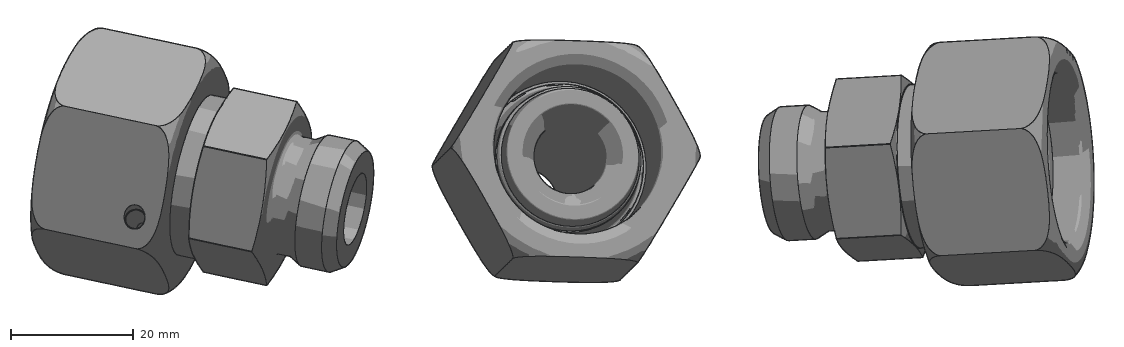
import cadquery as cq
import math

total_length = 50.0

nut_length = 22.5
nut_across_flats = 36.0
nut_corner_rounding = 3.5
nut_bore_radius = 27.8 / 2
nut_mouth_radius = 15.8
nut_mouth_angle = 60.0
nut_mouth_rounding = 1.0
nut_bore_edge_rounding = 0.6
nut_back_wall_x = 14.5

wire_hole_x = 18.0
wire_hole_offset = 13.55
wire_hole_angle = 60.0
wire_hole_diameter = 3.2
wire_entry_diameter = 3.5
wire_entry_start = 11.9

nose_x = 5.25
nose_edge_radius = 10.95
nose_edge_rounding = 0.4
nose_cone_angle = 12.0
shoulder_x = 13.8
shank_radius = 26.8 / 2
shoulder_fillet = 0.5
shoulder_edge_rounding = 0.3

hex_start_x = 25.9
hex_end_x = 38.0
hex_across_flats = 27.0
hex_corner_radius = 15.55
hex_chamfer_angle = 15.0
hex_end_face_radius = 13.1
collar_fillet = 0.1

undercut_radius = 19.6 / 2
undercut_fillet = 0.95
undercut_end_x = 40.9
thread_radius = 22.0 / 2
thread_flank_angle = 30.0
end_chamfer_x = 47.85
end_edge_break = 0.15

bore_radius = 12.0 / 2
bore_mouth_radius = 8.45
bore_mouth_end_x = 7.8
bore_mouth_rounding = 0.4
bore_throat_rounding = 0.5

ring_section_radius = 1.0
ring_x = 9.0
ring_outer_radius = 12.0
ring_groove_width = 2.5


def tan_deg(angle):
    return math.tan(math.radians(angle))


def revolve_about_x(profile):
    """Turn a closed (x, radius) profile in the XY plane about the X axis."""
    return profile.close().revolve(360, (0, 0, 0), (1, 0, 0))


def corner_radius(across_flats):
    return across_flats / 2 / math.cos(math.pi / 6)


def hexagon_bar(across_flats, start_x, end_x):
    """Hexagonal bar along X with corners on +Y and -Y and flats on +Z and -Z."""
    bar = cq.Workplane("YZ", origin=(start_x, 0, 0)).polygon(6, 2 * corner_radius(across_flats))
    return bar.extrude(end_x - start_x)


def circle_at(x, radius):
    """Selector for the circular edge about the X axis at this x and radius."""
    slack = 0.025
    reach = radius + slack
    inner = radius - slack
    whole = cq.selectors.BoxSelector((x - slack, -reach, -reach), (x + slack, reach, reach), True)
    smaller = cq.selectors.BoxSelector((x - slack, -inner, -inner), (x + slack, inner, inner), True)
    return whole - smaller


def make_nut():
    corner = corner_radius(nut_across_flats)
    face_radius = corner - nut_corner_rounding
    envelope = revolve_about_x(
        cq.Workplane("XY")
        .lineTo(0, face_radius)
        .radiusArc((nut_corner_rounding, corner), nut_corner_rounding)
        .lineTo(nut_length - nut_corner_rounding, corner)
        .radiusArc((nut_length, face_radius), nut_corner_rounding)
        .lineTo(nut_length, 0)
    )
    mouth_depth = (nut_mouth_radius - nut_bore_radius) / tan_deg(nut_mouth_angle)
    cavity = revolve_about_x(
        cq.Workplane("XY")
        .lineTo(0, nut_mouth_radius)
        .lineTo(mouth_depth, nut_bore_radius)
        .lineTo(nut_back_wall_x, nut_bore_radius)
        .lineTo(nut_back_wall_x, shank_radius)
        .lineTo(nut_length, shank_radius)
        .lineTo(nut_length, 0)
    )
    nut = hexagon_bar(nut_across_flats, 0, nut_length).intersect(envelope).cut(cavity)
    nut = nut.edges(circle_at(0, nut_mouth_radius)).fillet(nut_mouth_rounding)
    nut = nut.edges(circle_at(mouth_depth, nut_bore_radius)).fillet(nut_bore_edge_rounding)
    return nut.cut(make_wire_hole())


def make_wire_hole():
    """Stepped hole from its point of tangency beside the shank out through a flat of the nut."""
    angle = math.radians(wire_hole_angle)
    outward = (0, -math.cos(angle), math.sin(angle))
    tangent_point = (
        wire_hole_x,
        -wire_hole_offset * math.sin(angle),
        -wire_hole_offset * math.cos(angle),
    )
    base = cq.Workplane(cq.Plane(origin=tangent_point, xDir=(1, 0, 0), normal=outward))
    outside = nut_across_flats / 2
    hole = base.circle(wire_hole_diameter / 2).extrude(outside)
    entry = base.workplane(offset=wire_entry_start).circle(wire_entry_diameter / 2)
    return hole.union(entry.extrude(outside - wire_entry_start))


def make_nose_and_shank():
    cone_end_radius = nose_edge_radius + (shoulder_x - nose_x) * tan_deg(nose_cone_angle)
    turned = revolve_about_x(
        cq.Workplane("XY")
        .moveTo(nose_x, 0)
        .lineTo(nose_x, nose_edge_radius)
        .lineTo(shoulder_x, cone_end_radius)
        .lineTo(shoulder_x, shank_radius)
        .lineTo(hex_start_x - collar_fillet, shank_radius)
        .radiusArc((hex_start_x, shank_radius + collar_fillet), -collar_fillet)
        .lineTo(hex_start_x, 0)
    )
    turned = turned.edges(circle_at(nose_x, nose_edge_radius)).fillet(nose_edge_rounding)
    turned = turned.edges(circle_at(shoulder_x, shank_radius)).fillet(shoulder_edge_rounding)
    turned = turned.edges(circle_at(shoulder_x, cone_end_radius)).fillet(shoulder_fillet)

    groove_floor = ring_outer_radius - 2 * ring_section_radius
    groove = cq.Workplane("YZ", origin=(ring_x - ring_groove_width / 2, 0, 0))
    groove = groove.circle(shank_radius).circle(groove_floor).extrude(ring_groove_width)
    return turned.cut(groove)


def make_hexagon():
    start_radius = shank_radius + collar_fillet
    start_chamfer = (hex_corner_radius - start_radius) * tan_deg(hex_chamfer_angle)
    end_chamfer = (hex_corner_radius - hex_end_face_radius) * tan_deg(hex_chamfer_angle)
    envelope = revolve_about_x(
        cq.Workplane("XY")
        .moveTo(hex_start_x, 0)
        .lineTo(hex_start_x, start_radius)
        .lineTo(hex_start_x + start_chamfer, hex_corner_radius)
        .lineTo(hex_end_x - end_chamfer, hex_corner_radius)
        .lineTo(hex_end_x, hex_end_face_radius)
        .lineTo(hex_end_x, 0)
    )
    return hexagon_bar(hex_across_flats, hex_start_x, hex_end_x).intersect(envelope)


def make_port_end():
    flank = math.radians(thread_flank_angle)
    flank_start_x = undercut_end_x + undercut_fillet * math.sin(flank)
    flank_start_radius = undercut_radius + undercut_fillet * (1 - math.cos(flank))
    flank_end_x = flank_start_x + (thread_radius - flank_start_radius) / math.tan(flank)
    chamfer_end_x = total_length - end_edge_break
    chamfer_end_radius = thread_radius - (chamfer_end_x - end_chamfer_x) * math.tan(flank)
    return revolve_about_x(
        cq.Workplane("XY")
        .moveTo(hex_end_x, 0)
        .lineTo(hex_end_x, undercut_radius + undercut_fillet)
        .radiusArc((hex_end_x + undercut_fillet, undercut_radius), -undercut_fillet)
        .lineTo(undercut_end_x, undercut_radius)
        .radiusArc((flank_start_x, flank_start_radius), -undercut_fillet)
        .lineTo(flank_end_x, thread_radius)
        .lineTo(end_chamfer_x, thread_radius)
        .lineTo(chamfer_end_x, chamfer_end_radius)
        .lineTo(total_length, chamfer_end_radius - end_edge_break)
        .lineTo(total_length, 0)
    )


def make_body():
    bore = revolve_about_x(
        cq.Workplane("XY")
        .moveTo(nose_x, 0)
        .lineTo(nose_x, bore_mouth_radius)
        .lineTo(bore_mouth_end_x, bore_radius)
        .lineTo(total_length, bore_radius)
        .lineTo(total_length, 0)
    )
    body = make_nose_and_shank().union(make_hexagon()).union(make_port_end()).cut(bore)
    body = body.edges(circle_at(nose_x, bore_mouth_radius)).fillet(bore_mouth_rounding)
    return body.edges(circle_at(bore_mouth_end_x, bore_radius)).fillet(bore_throat_rounding)


def make_o_ring():
    centre_radius = ring_outer_radius - ring_section_radius
    section = cq.Workplane("XY", origin=(ring_x, 0, 0)).center(0, centre_radius)
    section = section.circle(ring_section_radius)
    return section.revolve(360, (0, -centre_radius, 0), (1, -centre_radius, 0))


nut = make_nut()
body = make_body()
o_ring = make_o_ring()
result = cq.Compound.makeCompound([nut.solids().val(), body.solids().val(), o_ring.val()])